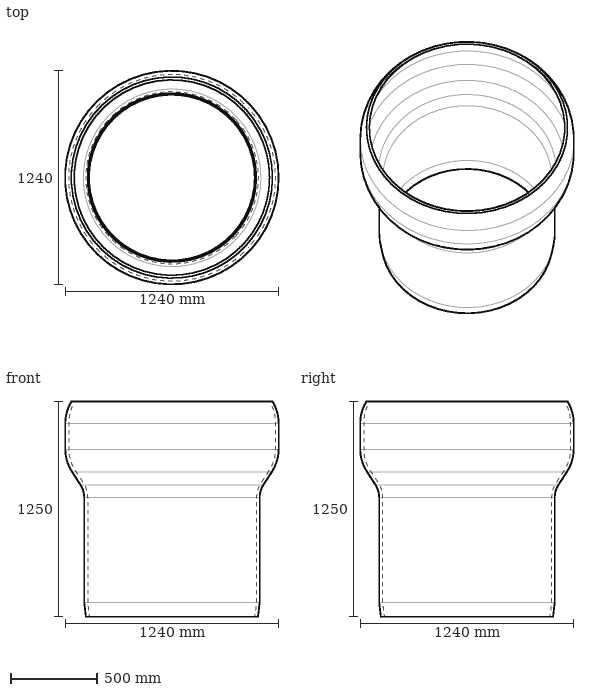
import cadquery as cq
import math

total_height = 1250.0
wall = 20.0
pipe_radius = 1020.0 / 2
socket_radius = 1240.0 / 2

taper_height = 84.0
taper_inset = 10.0

throat_start = 692.0
throat_bend = 135.0
belly_bend = 240.0
cone_angle = math.radians(33)

outer_rim_bend = 240.0
inner_rim_bend = outer_rim_bend + wall
rim_height = 128.0
rim_start = total_height - rim_height

bend_step = (throat_bend + belly_bend) * (1 - math.cos(cone_angle))
cone_height = (socket_radius - pipe_radius - bend_step) / math.tan(cone_angle)
cone_start = throat_start + throat_bend * math.sin(cone_angle)
belly_start = cone_start + cone_height
belly_end = belly_start + belly_bend * math.sin(cone_angle)

throat_centre = (pipe_radius + throat_bend, throat_start)
belly_centre = (socket_radius - belly_bend, belly_end)


def point_on_arc(centre, radius, angle):
    """Point at an angle measured from the outward radial direction."""
    return (
        centre[0] + radius * math.cos(angle),
        centre[1] + radius * math.sin(angle),
    )


def solid_body(depth, rim_bend):
    """Revolve the pipe outline, moved inwards from the outer surface by depth."""
    pipe = pipe_radius - depth
    socket = socket_radius - depth
    throat = throat_bend + depth
    belly = belly_bend - depth
    rim_centre = (socket - rim_bend, rim_start)
    rim_angle = math.asin(rim_height / rim_bend)

    return (
        cq.Workplane("XZ")
        .moveTo(0, 0)
        .lineTo(pipe - taper_inset, 0)
        .lineTo(pipe, taper_height)
        .lineTo(pipe, throat_start)
        .threePointArc(
            point_on_arc(throat_centre, throat, math.pi - cone_angle / 2),
            point_on_arc(throat_centre, throat, math.pi - cone_angle),
        )
        .lineTo(*point_on_arc(belly_centre, belly, -cone_angle))
        .threePointArc(
            point_on_arc(belly_centre, belly, -cone_angle / 2),
            (socket, belly_end),
        )
        .lineTo(socket, rim_start)
        .threePointArc(
            point_on_arc(rim_centre, rim_bend, rim_angle / 2),
            point_on_arc(rim_centre, rim_bend, rim_angle),
        )
        .lineTo(0, total_height)
        .close()
        .revolve(360, (0, 0, 0), (0, 1, 0))
    )


outer_body = solid_body(0, outer_rim_bend)
inner_cavity = solid_body(wall, inner_rim_bend)
result = outer_body.cut(inner_cavity)